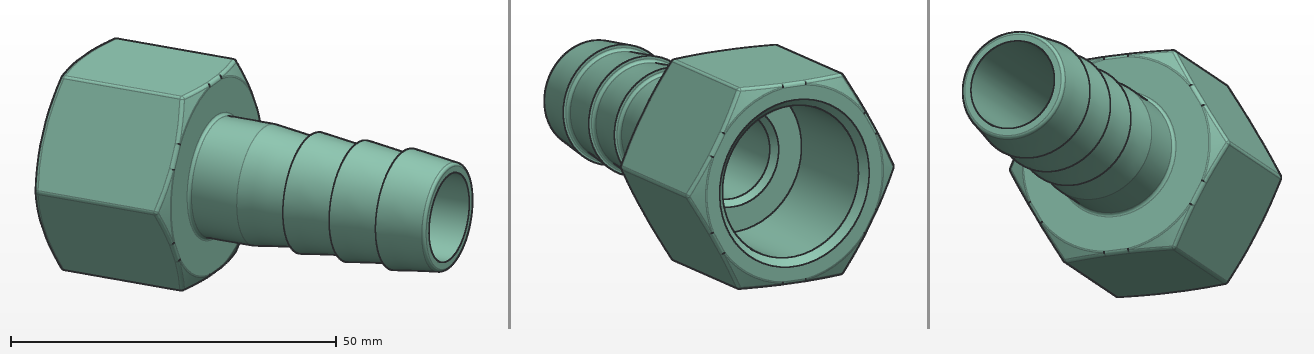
import cadquery as cq
import math

total_length = 63.0
hex_length = 23.0
hex_across_flats = 32.0
hex_edge_radius = 0.6

end_face_radius = 15.6
end_chamfer_angle = 22.0

tail_radius = 9.5
neck_fillet = 0.5
barb_count = 4
barb_pitch = 7.95
barb_root_radius = 8.55
barb_root_fillet = 0.5
tip_fillet = 0.5

socket_radius = 12.05
socket_depth = 18.9
socket_chamfer = 1.2
bore_radius = 7.0
bore_chamfer = 1.0


def turn(profile):
    """Revolve a closed half profile (x, radius) about the X axis."""
    return profile.close().revolve(360, (0, 0, 0), (1, 0, 0))


def fillet_middle(radius):
    """Distance from each side of a square corner to the middle of its fillet."""
    return radius * (1 - math.sqrt(0.5))


def make_hexagon():
    """Hexagon with flats at +Z and -Z, cone-chamfered ends and softened edges."""
    across_corners = hex_across_flats / math.cos(math.radians(30))
    corner_radius = across_corners / 2
    chamfer_length = (corner_radius - end_face_radius) * math.tan(math.radians(end_chamfer_angle))
    prism = (
        cq.Workplane("YZ")
        .polygon(6, across_corners)
        .extrude(hex_length)
        .edges("|X")
        .fillet(hex_edge_radius)
    )
    envelope = turn(
        cq.Workplane("XZ").polyline([
            (0, 0),
            (0, end_face_radius),
            (chamfer_length, corner_radius),
            (hex_length - chamfer_length, corner_radius),
            (hex_length, end_face_radius),
            (hex_length, 0),
        ])
    )
    envelope = envelope.faces("<X or >X").edges().fillet(hex_edge_radius)
    return prism.intersect(envelope).edges("not (%LINE or %CIRCLE)").fillet(hex_edge_radius)


def make_tail():
    """Straight neck followed by a row of identical barbs."""
    barbs_start = total_length - barb_count * barb_pitch
    neck_middle = fillet_middle(neck_fillet)
    root_middle = fillet_middle(barb_root_fillet)
    tip_middle = fillet_middle(tip_fillet)
    profile = (
        cq.Workplane("XZ")
        .moveTo(hex_length, 0)
        .lineTo(hex_length, tail_radius + neck_fillet)
        .threePointArc(
            (hex_length + neck_middle, tail_radius + neck_middle),
            (hex_length + neck_fillet, tail_radius),
        )
        .lineTo(barbs_start, tail_radius)
    )
    for barb in range(1, barb_count):
        barb_end = barbs_start + barb * barb_pitch
        profile = (
            profile
            .lineTo(barb_end - barb_root_fillet, barb_root_radius)
            .threePointArc(
                (barb_end - root_middle, barb_root_radius + root_middle),
                (barb_end, barb_root_radius + barb_root_fillet),
            )
            .lineTo(barb_end, tail_radius)
        )
    profile = (
        profile
        .lineTo(total_length - tip_fillet, barb_root_radius)
        .threePointArc(
            (total_length - tip_middle, barb_root_radius - tip_middle),
            (total_length, barb_root_radius - tip_fillet),
        )
        .lineTo(total_length, 0)
    )
    return turn(profile)


def make_bores():
    """Chamfered socket and the narrower bore that runs through the tail."""
    return turn(
        cq.Workplane("XZ").polyline([
            (0, 0),
            (0, socket_radius + socket_chamfer),
            (socket_chamfer, socket_radius),
            (socket_depth, socket_radius),
            (socket_depth, bore_radius + bore_chamfer),
            (socket_depth + bore_chamfer, bore_radius),
            (total_length, bore_radius),
            (total_length, 0),
        ])
    )


result = make_hexagon().union(make_tail()).cut(make_bores())